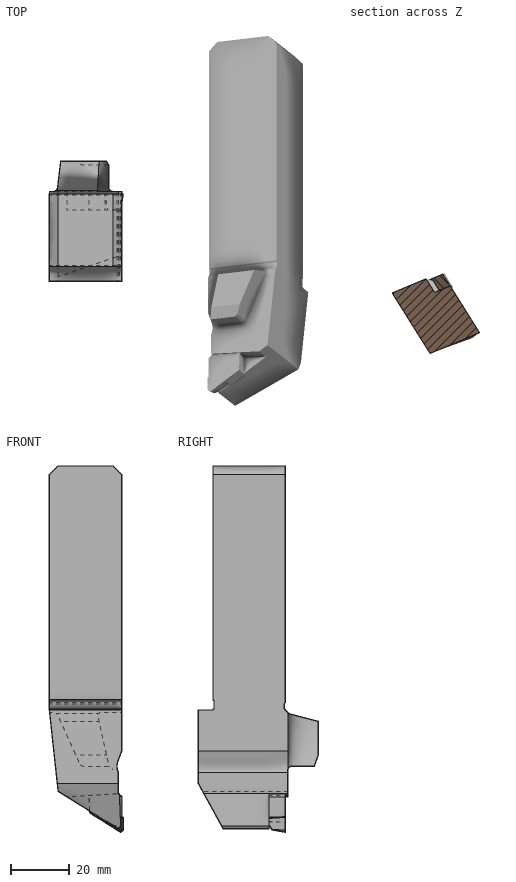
import cadquery as cq
import math


overall_length = 126.0
shank_side = 25.0
shank_end_chamfer = 3.0

head_top_z = 42.1
head_front_y = 0.9
head_back_y = -30.0
head_back_corner_z = 16.9
head_nose_y = -21.4
head_nose_z = 1.3
head_ledge_chamfer = 1.3
head_corner_x = 3.0
head_corner_z = 14.1
flank_slope = math.tan(math.radians(32))
seat_x = 23.8
seat_top_x = 24.1
seat_tip_x = 24.6
seat_tip_z = 2.3
seat_tip_bevel = 0.9

gullet_radius = 5.3
gullet_start_z = 28.0
gullet_upper = (23.7, 24.6)
gullet_lower_z = 20.5

groove_depth = 0.4
back_groove_top_z = 45.6
front_groove_top_z = 44.6

lug_front_y = 11.3
lug_top_z = 38.2
lug_bottom_z = 22.7
lug_bevel_y = 10.0
lug_bevel_z = 26.6
lug_left_x = 3.9
lug_right_x = 17.1
lug_left_slope = 0.45
lug_right_slope = 0.22
lug_root_fillet = 1.3
lug_corner_radius = 1.8
root_zone_margin = 0.1

insert_thickness = 5.5
insert_left = (13.9, 6.7)
insert_side_x = 25.1
insert_corner_z = 12.2
insert_corner_radius = 0.8
land_depth = 0.8
relief_angle = 8
pocket_left_z = 11.8
pocket_right_z = 13.4
end_lean = 0.3

tip_start = (19.2, 3.4)
tip_inner = (20.8, 8.8)
tip_top_z = 5.2
tip_side_x = 25.5
nose_start_x = 24.6
nose_end_z = 0.8
tip_heel_y = -4.0
tip_heel_z = 2.4


def ceiling_z(x):
    """Height of the pocket ceiling at a given X."""
    return pocket_left_z + (pocket_right_z - pocket_left_z) * x / seat_x


def prism_xz(outline, front_y, back_y):
    """Extrude a closed XZ outline from front_y back to back_y."""
    return outline.extrude(front_y - back_y).translate((0, front_y, 0))


def xz_sketch(start):
    """Begin an XZ outline at the given point."""
    return cq.Workplane("XZ").moveTo(*start)


def make_shank():
    shank = (
        cq.Workplane("XY", origin=(0, 0, head_top_z))
        .rect(shank_side, -shank_side, centered=False)
        .extrude(overall_length - head_top_z)
    )
    return shank.faces(">Z").edges("|Y").chamfer(shank_end_chamfer)


def make_head_blank():
    """Full-width head, bounded by its XZ outline."""
    lower_end_x = seat_tip_x - seat_tip_bevel
    outline = (
        xz_sketch((0, head_top_z))
        .lineTo(shank_side, head_top_z)
        .lineTo(shank_side, gullet_start_z)
        .lineTo(*gullet_upper)
        .radiusArc((seat_x, gullet_lower_z), -gullet_radius)
        .lineTo(seat_x, pocket_right_z)
        .lineTo(seat_top_x, pocket_right_z)
        .lineTo(seat_tip_x, seat_tip_z)
        .lineTo(lower_end_x, head_corner_z - flank_slope * (lower_end_x - head_corner_x))
        .lineTo(head_corner_x, head_corner_z)
        .close()
    )
    return prism_xz(outline, head_front_y, head_back_y)


def make_lug_blank():
    """Lug with its two leaning sides, as high as the head."""
    def left_x(z):
        return lug_left_x + lug_left_slope * (lug_top_z - z)

    def right_x(z):
        return lug_right_x + lug_right_slope * (lug_top_z - z)

    outline = (
        xz_sketch((left_x(head_top_z), head_top_z))
        .lineTo(right_x(head_top_z), head_top_z)
        .lineTo(right_x(lug_bottom_z), lug_bottom_z)
        .lineTo(left_x(lug_bottom_z), lug_bottom_z)
        .close()
    )
    lower_left = cq.selectors.NearestToPointSelector(
        (left_x(lug_bottom_z), lug_front_y / 2, lug_bottom_z)
    )
    return prism_xz(outline, lug_front_y, 0).edges("|Y").edges(lower_left).fillet(lug_corner_radius)


def make_head_profile():
    """YZ outline of the head and lug, swept across the whole width."""
    return (
        cq.Workplane("YZ")
        .moveTo(head_back_y, head_top_z)
        .lineTo(0, head_top_z)
        .lineTo(head_ledge_chamfer, head_top_z - head_ledge_chamfer)
        .lineTo(lug_front_y, lug_top_z)
        .lineTo(lug_front_y, lug_bevel_z)
        .lineTo(lug_bevel_y, lug_bottom_z)
        .lineTo(lug_bevel_y, 0)
        .lineTo(head_nose_y, 0)
        .lineTo(head_nose_y, head_nose_z)
        .lineTo(head_back_y, head_back_corner_z)
        .close()
        .extrude(shank_side)
    )


def make_head():
    head = make_head_blank().union(make_lug_blank())
    root_zone = cq.selectors.BoxSelector(
        (head_corner_x, head_front_y - root_zone_margin, lug_bottom_z - root_zone_margin),
        (seat_x, head_front_y + root_zone_margin, head_top_z - root_zone_margin),
    )
    head = head.edges(root_zone).fillet(lug_root_fillet)
    return head.intersect(make_head_profile())


def make_groove(face_y, inward, top_z):
    """Cutter for a neck groove with a sloped upper end and a rounded foot."""
    floor_y = face_y + inward * groove_depth
    return (
        cq.Workplane("YZ")
        .moveTo(face_y, top_z)
        .lineTo(floor_y, top_z - groove_depth)
        .lineTo(floor_y, head_top_z + groove_depth)
        .radiusArc((face_y, head_top_z), -inward * groove_depth)
        .close()
        .extrude(shank_side)
    )


def make_pocket():
    outline = (
        xz_sketch((0, 0))
        .lineTo(0, ceiling_z(0))
        .lineTo(tip_side_x, ceiling_z(tip_side_x))
        .lineTo(tip_side_x, 0)
        .close()
    )
    return prism_xz(outline, head_front_y, -insert_thickness)


def make_holder():
    holder = make_head().union(make_shank())
    holder = holder.cut(make_groove(-shank_side, 1, back_groove_top_z))
    holder = holder.cut(make_groove(0, -1, front_groove_top_z))
    return holder.cut(make_pocket())


def make_insert_body():
    """Insert without its ground tip: a relieved land on a straight-sided core."""
    left_x, left_z = insert_left
    top_left = (left_x - end_lean, ceiling_z(left_x - end_lean))
    outline = (
        cq.Sketch()
        .polygon([
            insert_left,
            tip_start,
            (insert_side_x, tip_top_z),
            (insert_side_x, insert_corner_z),
            (seat_x, ceiling_z(seat_x)),
            top_left,
            insert_left,
        ])
        .vertices(cq.selectors.NearestToPointSelector((left_x, left_z, 0)))
        .fillet(insert_corner_radius)
    )
    land = cq.Workplane("XZ").placeSketch(outline).extrude(land_depth, taper=relief_angle)
    return land.faces("<Y").wires().toPending().extrude(insert_thickness - land_depth)


def make_insert_tip():
    """Cutting tip with relieved flanks and a bevelled underside."""
    tip = (
        xz_sketch(tip_start)
        .lineTo(nose_start_x, 0)
        .lineTo(tip_side_x, nose_end_z)
        .lineTo(tip_side_x, tip_top_z)
        .lineTo(*tip_inner)
        .close()
        .extrude(insert_thickness, taper=relief_angle)
    )
    heel_bevel = (
        cq.Workplane("YZ")
        .moveTo(tip_heel_y, 0)
        .lineTo(-insert_thickness, 0)
        .lineTo(-insert_thickness, tip_heel_z)
        .close()
        .extrude(tip_side_x)
    )
    return tip.cut(heel_bevel)


def make_insert():
    return make_insert_body().union(make_insert_tip())


holder = make_holder()
insert = make_insert()

result = cq.Compound.makeCompound([holder.solids().val(), insert.solids().val()])